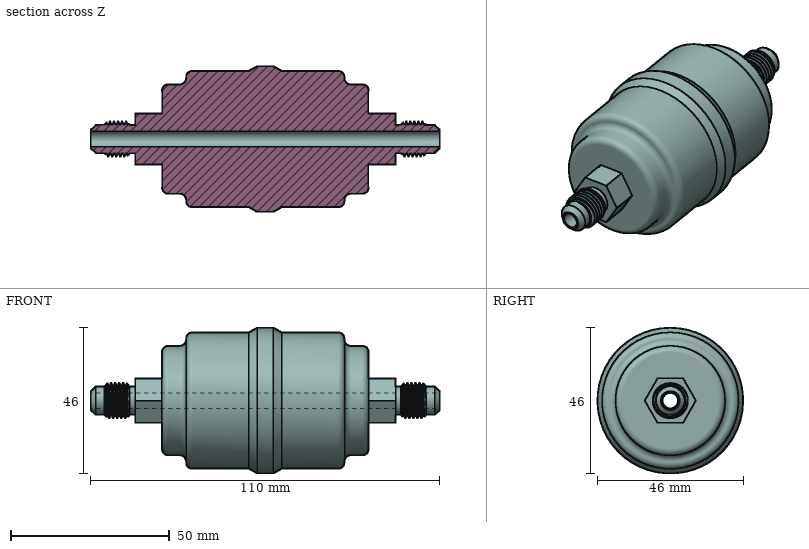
import cadquery as cq
import math

total_length = 110
tip_end = total_length / 2
bore_diameter = 4.8

bead_diameter = 46.0
bead_flat_end = 2.5
bead_end = 5.2
body_diameter = 43.0
body_end = 25.0
cap_diameter = 34.5
cap_end = 32.6
edge_radius = 2.0

hex_across_flats = 14.0
hex_end = 41.0
neck_diameter = 9.0
nose_tip_diameter = 5.9
nose_length = 1.6

thread_diameter = 11.1
thread_pitch = 1.26
thread_inner_end = 42.7
thread_outer_end = 50.7
thread_root_width = 1.2
thread_crest_width = 0.09
thread_crest_overlap = 0.08
thread_root_overlap = 0.1
helix_start = 42.2
helix_turns = 7


def make_shell_half():
    """Solid of revolution about Z, from the bead middle to the cap face."""
    bead_radius = bead_diameter / 2
    body_radius = body_diameter / 2
    cap_radius = cap_diameter / 2
    arc_offset = edge_radius * (1 - math.sqrt(0.5))
    profile = (
        cq.Workplane("XZ")
        .lineTo(bead_radius, 0)
        .lineTo(bead_radius, bead_flat_end)
        .lineTo(body_radius, bead_end)
        .lineTo(body_radius, body_end - edge_radius)
        .threePointArc(
            (body_radius - arc_offset, body_end - arc_offset),
            (body_radius - edge_radius, body_end),
        )
        .lineTo(cap_radius + edge_radius, body_end)
        .threePointArc(
            (cap_radius + arc_offset, body_end + arc_offset),
            (cap_radius, body_end + edge_radius),
        )
        .lineTo(cap_radius, cap_end - edge_radius)
        .threePointArc(
            (cap_radius - arc_offset, cap_end - arc_offset),
            (cap_radius - edge_radius, cap_end),
        )
        .lineTo(0, cap_end)
        .close()
    )
    return profile.revolve(360, (0, 0), (0, 1))


def make_thread():
    """Right-handed helical ridge, trimmed by a cylinder with chamfered ends."""
    neck_radius = neck_diameter / 2
    root_radius = neck_radius - thread_root_overlap
    thread_radius = thread_diameter / 2
    crest_radius = thread_radius + thread_crest_overlap
    helix = cq.Wire.makeHelix(
        thread_pitch, helix_turns * thread_pitch, neck_radius, cq.Vector(0, 0, helix_start)
    )
    ridge = (
        cq.Workplane("XZ")
        .moveTo(root_radius, helix_start - thread_root_width / 2)
        .lineTo(crest_radius, helix_start - thread_crest_width / 2)
        .lineTo(crest_radius, helix_start + thread_crest_width / 2)
        .lineTo(root_radius, helix_start + thread_root_width / 2)
        .close()
        .sweep(cq.Workplane(helix), isFrenet=True)
    )
    envelope = (
        cq.Workplane("XY", origin=(0, 0, thread_inner_end))
        .circle(thread_radius)
        .extrude(thread_outer_end - thread_inner_end)
        .edges()
        .chamfer(thread_radius - neck_radius)
    )
    return ridge.intersect(envelope)


def make_fitting():
    """Fitting along +Z, with two hexagon corners on the Y axis."""
    hex_diameter = hex_across_flats / math.cos(math.pi / 6)
    hexagon = (
        cq.Workplane("XY", origin=(0, 0, cap_end))
        .transformed(rotate=(0, 0, 90))
        .polygon(6, hex_diameter)
        .extrude(hex_end - cap_end)
    )
    neck_radius = neck_diameter / 2
    neck_and_nose = (
        cq.Workplane("XZ")
        .moveTo(0, cap_end)
        .lineTo(neck_radius, cap_end)
        .lineTo(neck_radius, tip_end - nose_length)
        .lineTo(nose_tip_diameter / 2, tip_end)
        .lineTo(0, tip_end)
        .close()
        .revolve(360, (0, 0), (0, 1))
    )
    return neck_and_nose.union(make_thread()).union(hexagon)


half = make_shell_half().union(make_fitting())

left_half = half.rotate((0, 0, 0), (0, 1, 0), -90)
right_half = left_half.rotate((0, 0, 0), (0, 0, 1), 180)

bore = (
    cq.Workplane("YZ")
    .circle(bore_diameter / 2)
    .extrude(tip_end, both=True)
)
result = left_half.union(right_half).cut(bore)